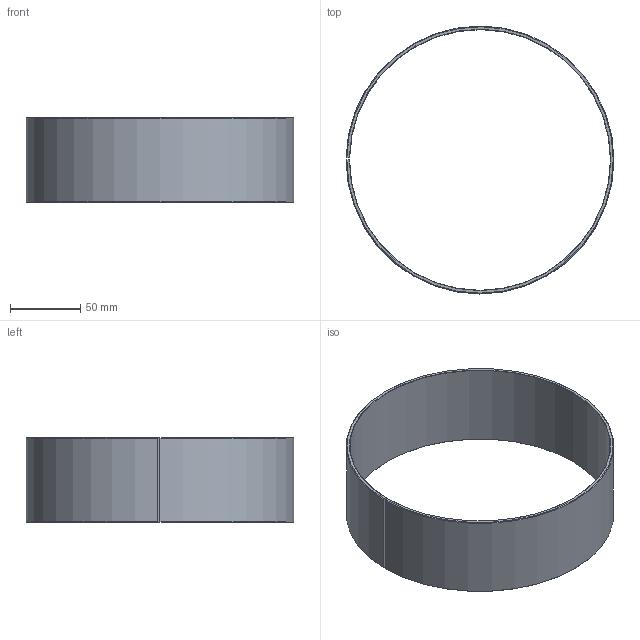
import cadquery as cq
import math

outer_diameter = 190.0
wall_thickness = 2.5
height = 60.0

outer_chamfer = 0.5
inner_chamfer = 0.2

slit_angle = 1.0
cut_clearance = 10.0

outer_radius = outer_diameter / 2
inner_radius = outer_radius - wall_thickness


def make_band():
    """Closed band with its outer and inner rims chamfered at both ends."""
    body = cq.Workplane("XY").circle(outer_radius).extrude(height)
    body = body.faces("<Z or >Z").edges().chamfer(outer_chamfer)
    bore = cq.Workplane("XY").circle(inner_radius).extrude(height)
    band = body.cut(bore)
    inner_rims = band.faces("<Z or >Z").edges(cq.selectors.RadiusNthSelector(0))
    return inner_rims.chamfer(inner_chamfer)


def make_slit():
    """Thin wedge with radial faces that cuts one side of the band over its full height."""
    slit_reach = outer_radius + cut_clearance
    slit_opening = slit_reach * math.tan(math.radians(slit_angle))
    return (
        cq.Workplane("XY")
        .moveTo(0, 0)
        .lineTo(-slit_reach, 0)
        .lineTo(-slit_reach, slit_opening)
        .close()
        .extrude(height)
    )


result = make_band().cut(make_slit())